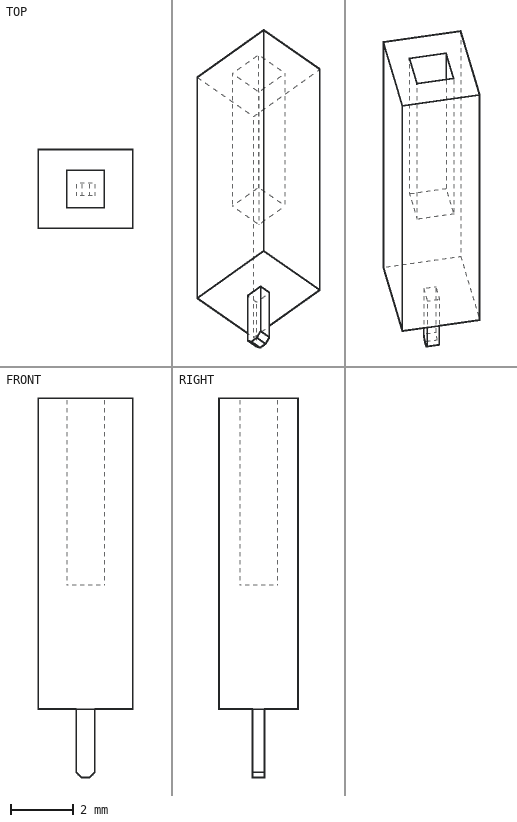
import cadquery as cq

housing_width = 3.04
housing_depth = 2.54
housing_height = 10.0

socket_side = 1.2
socket_depth = 6.0

total_height = 12.2
pin_length = total_height - housing_height
pin_width = 0.6
pin_thickness = 0.4
tip_chamfer = 0.175


def make_housing():
    """Block with the blind square socket cut from its top face."""
    block = cq.Workplane("XY").box(
        housing_width, housing_depth, housing_height, centered=(True, True, False)
    )
    return block.faces(">Z").workplane().rect(socket_side, socket_side).cutBlind(-socket_depth)


def make_pin():
    """Flat pin hanging from the housing, its tip narrowed across the width."""
    pin = (
        cq.Workplane("XY")
        .rect(pin_width, pin_thickness)
        .extrude(-pin_length)
    )
    return pin.faces("<Z").edges("|Y").chamfer(tip_chamfer)


result = make_housing().union(make_pin())